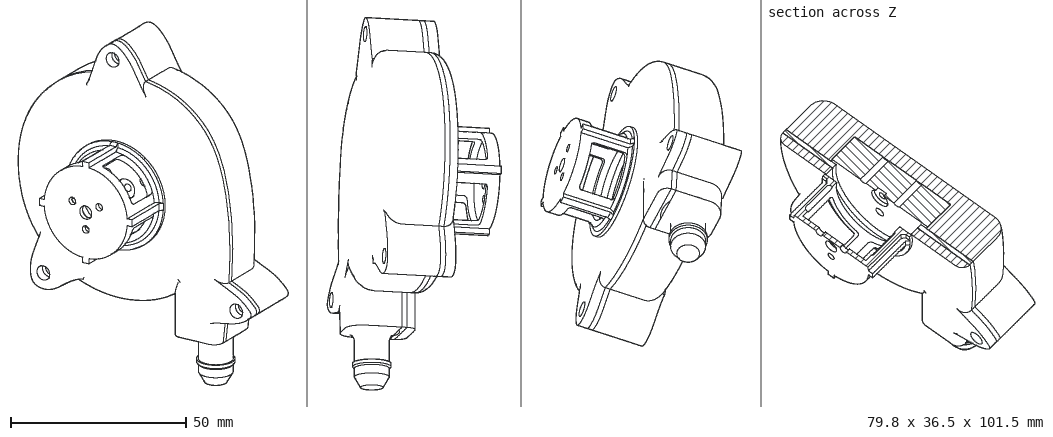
import cadquery as cq
import math


housing_depth = 20.0
cover_depth = 3.0
plate_depth = 1.5
plate_back = cover_depth + plate_depth
front_round = 3.0
back_round = 5.0

outlet_left = 18.4
outlet_right = 34.0
outlet_end = -39.4
volute_points = [
    (outlet_left, -27.4),
    (9.0, -31.5),
    (0.0, -32.6),
    (-10.3, -31.1),
    (-28.1, -18.5),
    (-34.43, 1.0),
    (-30.3, 19.5),
    (-17.5, 31.8),
    (0.5, 35.8),
    (16.3, 33.0),
    (28.7, 23.1),
    (35.1, 5.0),
    (36.3, -10.0),
    (outlet_right, outlet_end),
]

ears = [
    [(-10.1, 31.8), (-7.4, 38.8), (-4.6, 44.0), (-1.3, 45.85), (2.2, 44.0), (6.4, 38.2), (9.9, 32.2)],
    [(-11.2, -28.4), (-17.0, -31.0), (-24.0, -34.2), (-27.9, -32.9), (-29.0, -29.3), (-28.2, -24.1),
     (-25.5, -16.8)],
    [(32.7, -18.9), (39.2, -22.0), (44.2, -25.7), (45.3, -27.6), (44.2, -29.1), (39.2, -31.4),
     (31.5, -33.0)],
]
ear_root = (0.0, 0.0)
ear_hole_centers = [(-1.3, 41.0), (-24.6, -29.3), (40.3, -27.3)]
ear_hole_diameter = 4.3

nozzle_x = (outlet_left + outlet_right) / 2
nozzle_y = 11.5
nozzle_radius = 10.0 / 2
nozzle_tip_radius = 6.5 / 2
nozzle_root_round = 2.9
ridge_radius = 11.0 / 2
ridge_start = 9.2
ridge_width = 1.0
ridge_taper = 0.5
tip_start = 13.2
nozzle_length = 16.28

hub_face = 5.0
motor_bore_diameter = 32.0
hub_diameter = 36.0
hub_depth = 10.0
hub_recess_diameter = 6.0
hub_recess_depth = 1.1
shaft_hole_diameter = 2.2
hub_screw_diameter = 2.8
hub_screw_circle_radius = 7.2
screw_angles = [30.0, 150.0, 270.0]

cage_height = 16.5
cage_outer_radius = 28.0 / 2
cage_inner_radius = 24.0 / 2
flange_radius = 32.8 / 2
flange_thickness = 1.0
cone_base_radius = 30.0 / 2
end_disc_thickness = 1.5
window_start = 2.0
window_end = 13.0
window_width = 14.1
window_offset = 0.33
window_round = 1.0
rib_radius = 31.0 / 2
rib_width = 2.15
rib_flare = flange_radius - rib_radius
quarter_turns = [0.0, 90.0, 180.0, 270.0]
cage_center_hole_diameter = 4.0
cage_screw_diameter = 2.2
cage_screw_circle_radius = 5.2


def front_plane(y=0.0):
    """Sketch plane at depth y, seen from the front; positive extrusion goes forward (-Y)."""
    return cq.Workplane("XZ", origin=(0, y, 0))


def cylinder(diameter, y_front, y_back, center=(0.0, 0.0)):
    """Cylinder along Y between two depths."""
    return front_plane(y_back).center(*center).circle(diameter / 2).extrude(y_back - y_front)


def circle_points(radius, angles):
    return [
        (radius * math.cos(math.radians(angle)), radius * math.sin(math.radians(angle)))
        for angle in angles
    ]


def volute():
    body = (
        front_plane(housing_depth)
        .spline(volute_points)
        .lineTo(outlet_left, outlet_end)
        .close()
        .extrude(housing_depth)
    )
    above_end = cq.selectors.BoxSelector((-100, -100, outlet_end + 1), (100, 100, 100))
    body = body.faces("<Y").edges(above_end).fillet(front_round)
    return body.faces(">Y").edges(above_end).fillet(back_round)


def ear(points):
    """Ear over the full housing depth, closed by two lines to the middle of the volute."""
    return (
        front_plane(housing_depth)
        .spline(points)
        .lineTo(*ear_root)
        .close()
        .extrude(housing_depth)
    )


def nozzle():
    """Barbed nozzle turned about its own axis; the profile is (radius, distance below the outlet end)."""
    arc_middle = nozzle_root_round * (1 - math.sqrt(0.5))
    ridge_end = ridge_start + ridge_width
    return (
        cq.Workplane("XZ", origin=(nozzle_x, nozzle_y, outlet_end))
        .moveTo(0, 0)
        .lineTo(nozzle_radius + nozzle_root_round, 0)
        .threePointArc(
            (nozzle_radius + arc_middle, -arc_middle),
            (nozzle_radius, -nozzle_root_round),
        )
        .lineTo(nozzle_radius, -ridge_start)
        .lineTo(ridge_radius, -ridge_start)
        .lineTo(ridge_radius, -ridge_end)
        .lineTo(nozzle_radius, -ridge_end - ridge_taper)
        .lineTo(nozzle_radius, -tip_start)
        .lineTo(nozzle_tip_radius, -nozzle_length)
        .lineTo(0, -nozzle_length)
        .close()
        .revolve(360, (0, 0, 0), (0, 1, 0))
    )


def housing_shape():
    """The whole housing before it is split into layers."""
    body = volute()
    for points in ears:
        body = body.union(ear(points))
    for center in ear_hole_centers:
        body = body.cut(cylinder(ear_hole_diameter, 0, housing_depth, center))
    return body


def layer(body, y_front, y_back):
    slab = front_plane(y_back).rect(400, 400).extrude(y_back - y_front)
    return body.intersect(slab)


def make_hub():
    hub_back = hub_face + hub_depth
    hub = cylinder(hub_diameter, hub_face, hub_back)
    hub = hub.cut(cylinder(hub_recess_diameter, hub_face, hub_face + hub_recess_depth))
    hub = hub.cut(cylinder(shaft_hole_diameter, hub_face, hub_back))
    for center in circle_points(hub_screw_circle_radius, screw_angles):
        hub = hub.cut(cylinder(hub_screw_diameter, hub_face, hub_back, center))
    return hub


def cage_window(turn):
    """Straight cutter for one window between two ribs, its corners rounded."""
    reach = 2 * cage_outer_radius
    inner_end = cage_inner_radius / 2
    return (
        cq.Workplane("XY")
        .box(reach, window_end - window_start, window_width, centered=(False, True, True))
        .edges("|X")
        .fillet(window_round)
        .translate((inner_end, -(window_start + window_end) / 2, window_offset))
        .rotate((0, 0, 0), (0, 1, 0), turn + 45.0)
    )


def cage_rib(turn):
    """Rib along the cage, flaring out to the flange edge at its foot."""
    return (
        cq.Workplane("XY")
        .moveTo(cage_inner_radius, -flange_thickness)
        .lineTo(flange_radius, -flange_thickness)
        .lineTo(rib_radius, -flange_thickness - rib_flare)
        .lineTo(rib_radius, -cage_height)
        .lineTo(cage_inner_radius, -cage_height)
        .close()
        .extrude(rib_width / 2, both=True)
        .rotate((0, 0, 0), (0, 1, 0), turn)
    )


def make_cage():
    cavity_end = cage_height - end_disc_thickness
    cage = (
        cq.Workplane("XY")
        .moveTo(0, 0)
        .lineTo(flange_radius, 0)
        .lineTo(flange_radius, -flange_thickness)
        .lineTo(cone_base_radius, -flange_thickness)
        .lineTo(cage_outer_radius, -window_start)
        .lineTo(cage_outer_radius, -cage_height)
        .lineTo(0, -cage_height)
        .close()
        .revolve(360, (0, 0, 0), (0, 1, 0))
    )
    cage = cage.cut(cylinder(2 * cage_inner_radius, -cavity_end, 0))
    for turn in quarter_turns:
        cage = cage.cut(cage_window(turn))
    for turn in quarter_turns:
        cage = cage.union(cage_rib(turn))
    cage = cage.cut(cylinder(cage_center_hole_diameter, -cage_height, -cavity_end))
    for center in circle_points(cage_screw_circle_radius, screw_angles):
        cage = cage.cut(cylinder(cage_screw_diameter, -cage_height, -cavity_end, center))
    return cage


housing = housing_shape()
motor_bore = cylinder(motor_bore_diameter, 0, plate_back)
cover = layer(housing, 0, cover_depth).cut(motor_bore)
plate = layer(housing, cover_depth, plate_back).cut(motor_bore)
hub = make_hub()
back_housing = layer(housing, plate_back, housing_depth).union(nozzle())
back_housing = back_housing.cut(cylinder(hub_diameter, plate_back, hub_face + hub_depth))
cage = make_cage()

result = cq.Compound.makeCompound(
    [cover.val(), plate.val(), back_housing.val(), hub.val(), cage.val()]
)